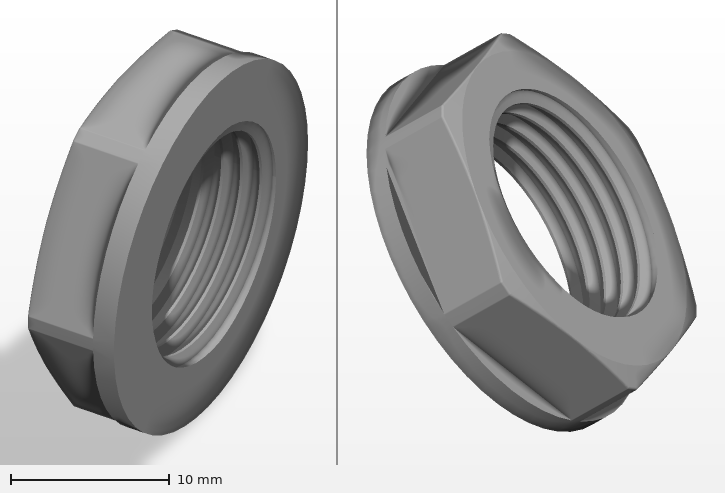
import cadquery as cq
import math

OUTER_DIAMETER = 24.85
LENGTH = 6.65
FLANGE_THICKNESS = 1.52
ACROSS_FLATS = 22.0
FACE_CHAMFER_ANGLE = 15.0
FACE_CIRCLE_DIAMETER = 21.93
EDGE_FILLET = 0.15

MINOR_DIAMETER = 15.16
MAJOR_DIAMETER = 16.65
PITCH = 1.4
CREST_WIDTH = 0.2
RIDGE_BASE_WIDTH = 0.8
THREAD_START_ANGLE = -12.0
WALL_OVERLAP = 0.1
SPARE_TURNS = 1
SLEEVE_DIAMETER = 19.9

HEX_LENGTH = LENGTH - FLANGE_THICKNESS


def hexagon_body():
    """Hexagon with corners turned to the flange diameter and a coned front face."""
    corner_diameter = ACROSS_FLATS / math.cos(math.radians(30))
    hexagon = cq.Workplane("YZ").polygon(6, corner_diameter).extrude(HEX_LENGTH)

    face_radius = FACE_CIRCLE_DIAMETER / 2
    outer_radius = OUTER_DIAMETER / 2
    cone_depth = (outer_radius - face_radius) * math.tan(math.radians(FACE_CHAMFER_ANGLE))
    turned_blank = (
        cq.Workplane("XY")
        .moveTo(0, 0)
        .lineTo(0, face_radius)
        .lineTo(cone_depth, outer_radius)
        .lineTo(HEX_LENGTH, outer_radius)
        .lineTo(HEX_LENGTH, 0)
        .close()
        .revolve(360, (0, 0, 0), (1, 0, 0))
    )
    body = hexagon.intersect(turned_blank)
    rounded = body.edges("|X").fillet(EDGE_FILLET)
    return rounded.faces("%CONE").edges("not <X").fillet(EDGE_FILLET)


def flange():
    return (
        cq.Workplane("YZ", origin=(HEX_LENGTH, 0, 0))
        .circle(OUTER_DIAMETER / 2)
        .extrude(FLANGE_THICKNESS)
    )


def thread_ridge(start_offset):
    """Right-hand helical ridge of trapezoidal section, longer than the nut at both ends."""
    crest_radius = MINOR_DIAMETER / 2
    wall_radius = MAJOR_DIAMETER / 2
    joined_radius = wall_radius + WALL_OVERLAP
    crest_half = CREST_WIDTH / 2
    flank_slope = (RIDGE_BASE_WIDTH / 2 - crest_half) / (wall_radius - crest_radius)
    joined_half = RIDGE_BASE_WIDTH / 2 + WALL_OVERLAP * flank_slope

    helix = cq.Wire.makeHelix(PITCH, LENGTH + 2 * start_offset, crest_radius)
    return (
        cq.Workplane("XZ")
        .moveTo(crest_radius, -crest_half)
        .lineTo(joined_radius, -joined_half)
        .lineTo(joined_radius, joined_half)
        .lineTo(crest_radius, crest_half)
        .close()
        .sweep(cq.Workplane(obj=helix), isFrenet=True)
        .rotate((0, 0, 0), (0, 1, 0), 90)
        .rotate((0, 0, 0), (1, 0, 0), THREAD_START_ANGLE)
        .translate((-start_offset, 0, 0))
    )


def threaded_sleeve():
    """Bore wall with its thread, made overlong and trimmed flush with the end faces."""
    start_offset = SPARE_TURNS * PITCH
    overrun = start_offset + PITCH
    long_wall = (
        cq.Workplane("YZ", origin=(-overrun, 0, 0))
        .circle(SLEEVE_DIAMETER / 2)
        .circle(MAJOR_DIAMETER / 2)
        .extrude(LENGTH + 2 * overrun)
    )
    nut_envelope = cq.Workplane("YZ").rect(OUTER_DIAMETER, OUTER_DIAMETER).extrude(LENGTH)
    return long_wall.union(thread_ridge(start_offset)).intersect(nut_envelope)


def threaded_bore():
    """Exact shape of the empty space inside the thread."""
    plug = cq.Workplane("YZ").circle(SLEEVE_DIAMETER / 2).extrude(LENGTH)
    return plug.cut(threaded_sleeve())


result = hexagon_body().union(flange()).cut(threaded_bore())